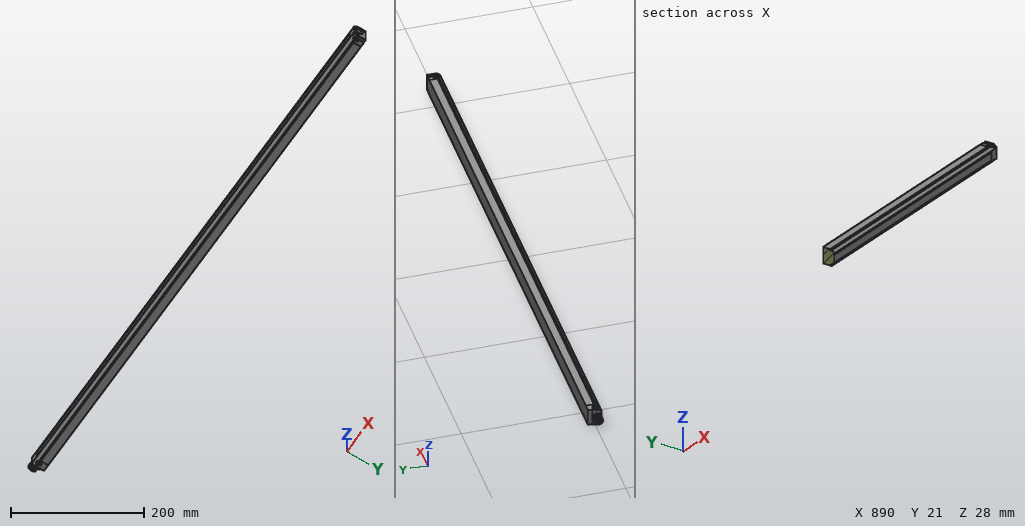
import cadquery as cq

total_length = 890.0
depth = 21.01
height = 28.0
half_height = height / 2

connector_length = 11.2
near_pad_thickness = 1.8
stud_length = 1.2
plate_thickness = 1.0
neck_length = 4.4
neck_inset = 1.6
housing_start = connector_length + near_pad_thickness
plate_end = total_length - stud_length
plate_start = plate_end - plate_thickness
housing_end = plate_start - neck_length

near_cap_end = 24.5
far_cap_start = 875.0
cap_step = 0.1

groove_start = 13.3
groove_width = 1.8
groove_depth = 2.0
shoulder_land = 0.2
shoulder_depth = groove_start + groove_width + shoulder_land
front_half_height = 9.0
window_half_height = 6.7
window_depth = 0.6
near_pad_back = 6.5

notch_width = 3.2
notch_depth = 2.0
notch_start = 9.0
notch_centres = (19.0, 881.0)

connector_diameter = 13.4
connector_axis_depth = 13.4
thread_pitch = 2.4
thread_depth = 0.7
thread_groove_width = thread_pitch / 2
thread_count = 4
socket_diameter = 9.0
socket_depth = 8.0
pin_diameter = 1.5
pin_circle_diameter = 5.0
pin_count = 4
first_pin_angle = 45.0


def section_block(x_start, x_end, inset=0.0):
    """Housing cross-section along X, its top and bottom lowered by the inset."""
    top = half_height - inset
    outline = [
        (0, -top),
        (0, top),
        (-shoulder_depth, top),
        (-depth, front_half_height),
        (-depth, -front_half_height),
        (-shoulder_depth, -top),
    ]
    return cq.Workplane("YZ", origin=(x_start, 0, 0)).polyline(outline).close().extrude(x_end - x_start)


def box_between(x_range, y_range, z_range):
    """Box spanning the given ranges."""
    lows, highs = zip(x_range, y_range, z_range)
    sizes = [high - low for low, high in zip(lows, highs)]
    return cq.Workplane("XY").box(*sizes, centered=False).translate(lows)


def skin_cuts(x_range, y_range, cut_depth):
    """Cutters sunk into the top and bottom faces over the given X and Y ranges."""
    top_cut = box_between(x_range, y_range, (half_height - cut_depth, half_height))
    return top_cut.union(top_cut.mirror("XY"))


def axis_plane(x):
    """Workplane facing +X, centred on the connector axis."""
    return cq.Workplane("YZ", origin=(x, -connector_axis_depth, 0))


def make_housing():
    """Profile with its near pad, two grooves, sunken end caps, notches and front window."""
    pad_gap = box_between(
        (connector_length, housing_start),
        (-near_pad_back, 0),
        (-half_height, half_height),
    )
    body = section_block(connector_length, housing_end).cut(pad_gap)
    body = body.union(section_block(housing_end, plate_start, neck_inset))
    body = body.union(section_block(plate_start, plate_end))

    groove_y = (-groove_start - groove_width, -groove_start)
    body = body.cut(skin_cuts((connector_length, plate_end), groove_y, groove_depth))

    for cap_range in ((housing_start, near_cap_end), (far_cap_start, housing_end)):
        body = body.cut(skin_cuts(cap_range, (-groove_start, 0), cap_step))

    for centre in notch_centres:
        notch_x = (centre - notch_width / 2, centre + notch_width / 2)
        body = body.cut(skin_cuts(notch_x, (-depth, -notch_start), notch_depth))

    window = box_between(
        (near_cap_end, far_cap_start),
        (-depth, -depth + window_depth),
        (-window_half_height, window_half_height),
    )
    return body.cut(window)


def make_connector():
    """Male threaded connector, with the thread as plain rings and pins in its socket."""
    body = axis_plane(0).circle(connector_diameter / 2).extrude(connector_length)
    for index in range(thread_count):
        ring = (
            axis_plane(thread_pitch * (index + 0.5))
            .circle(connector_diameter / 2)
            .circle(connector_diameter / 2 - thread_depth)
            .extrude(thread_groove_width)
        )
        body = body.cut(ring)
    socket = axis_plane(0).circle(socket_diameter / 2).extrude(socket_depth)
    pins = (
        axis_plane(0)
        .polarArray(pin_circle_diameter / 2, first_pin_angle, 360, pin_count)
        .circle(pin_diameter / 2)
        .extrude(socket_depth)
    )
    return body.cut(socket).union(pins)


def make_stud():
    """Plain round stud on the far end plate."""
    return axis_plane(plate_end).circle(connector_diameter / 2).extrude(stud_length)


result = make_housing().union(make_connector()).union(make_stud())